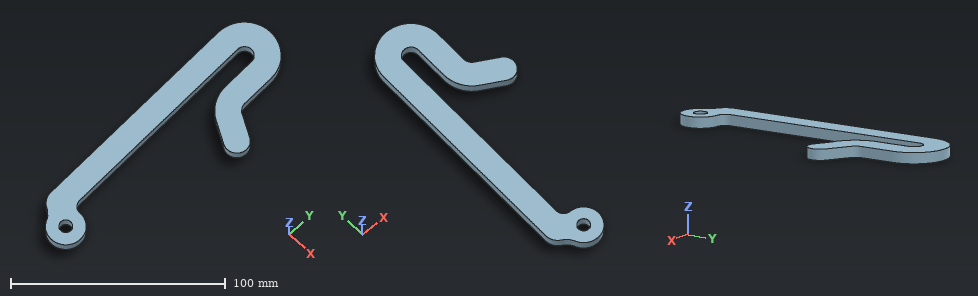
import cadquery as cq
import math

length = 147.3
width = 51.0
thickness = 5.5
bar_width = 12.7
eye_radius = 9.6
hole_diameter = 6.3
slot_radius = 4.4
neck_radius = 4.4
heel_radius = 7.7
heel_height = 7.5
heel_blend_radius = 9.6
lip_bend_radius = 5.0
lip_bend_height = 102.8
lip_drop_angle = 30.0

outer_radius = slot_radius + bar_width
bend_height = length - eye_radius - outer_radius
slope = math.radians(lip_drop_angle)
along = (math.cos(slope), -math.sin(slope))
normal = (math.sin(slope), math.cos(slope))


def offset(point, direction, distance):
    return (point[0] + direction[0] * distance, point[1] + direction[1] * distance)


def polar(center, radius, degrees):
    angle = math.radians(degrees)
    return offset(center, (math.cos(angle), math.sin(angle)), radius)


def angle_of(start, end):
    return math.degrees(math.atan2(end[1] - start[1], end[0] - start[0]))


lip_center = (outer_radius + lip_bend_radius, lip_bend_height)
lip_outside_radius = lip_bend_radius + bar_width
bend_end_angle = 270 - lip_drop_angle
bend_mid_angle = (180 + bend_end_angle) / 2
lip_inside_end = polar(lip_center, lip_bend_radius, bend_end_angle)
lip_outside_end = polar(lip_center, lip_outside_radius, bend_end_angle)

tip_radius = bar_width / 2
tip_center_x = width - outer_radius - tip_radius
lip_length = (tip_center_x - (lip_inside_end[0] + lip_outside_end[0]) / 2) / along[0]
tip_upper = offset(lip_inside_end, along, lip_length)
tip_lower = offset(lip_outside_end, along, lip_length)
tip_end = offset(offset(tip_upper, normal, -tip_radius), along, tip_radius)

neck_x = neck_radius - slot_radius
neck_center = (neck_x, math.sqrt((eye_radius + neck_radius) ** 2 - neck_x**2))
neck_angle = angle_of(neck_center, (0, 0))
neck_mid_angle = (neck_angle - 180) / 2
neck_end = polar(neck_center, neck_radius, neck_angle)

heel_center = (heel_radius - outer_radius, heel_height)
heel_distance = math.hypot(*heel_center)
eye_side = eye_radius + heel_blend_radius
heel_side = heel_radius + heel_blend_radius
eye_corner_cosine = (eye_side**2 + heel_distance**2 - heel_side**2) / (2 * eye_side * heel_distance)
eye_corner_angle = math.degrees(math.acos(eye_corner_cosine))
blend_center = polar((0, 0), eye_side, angle_of((0, 0), heel_center) + eye_corner_angle)
blend_start_angle = angle_of(blend_center, heel_center)
blend_end_angle = angle_of(blend_center, (0, 0))
blend_mid_angle = (blend_start_angle + blend_end_angle) / 2
blend_start = polar(blend_center, heel_blend_radius, blend_start_angle)
blend_end = polar(blend_center, heel_blend_radius, blend_end_angle)
heel_mid_angle = (180 + blend_start_angle + 180) / 2

outline = (
    cq.Workplane("XY")
    .moveTo(-outer_radius, heel_height)
    .lineTo(-outer_radius, bend_height)
    .threePointArc((0, bend_height + outer_radius), (outer_radius, bend_height))
    .lineTo(outer_radius, lip_bend_height)
    .threePointArc(polar(lip_center, lip_bend_radius, bend_mid_angle), lip_inside_end)
    .lineTo(*tip_upper)
    .threePointArc(tip_end, tip_lower)
    .lineTo(*lip_outside_end)
    .threePointArc(polar(lip_center, lip_outside_radius, bend_mid_angle), (slot_radius, lip_bend_height))
    .lineTo(slot_radius, bend_height)
    .threePointArc((0, bend_height + slot_radius), (-slot_radius, bend_height))
    .lineTo(-slot_radius, neck_center[1])
    .threePointArc(polar(neck_center, neck_radius, neck_mid_angle), neck_end)
    .threePointArc((eye_radius, 0), blend_end)
    .threePointArc(polar(blend_center, heel_blend_radius, blend_mid_angle), blend_start)
    .threePointArc(polar(heel_center, heel_radius, heel_mid_angle), (-outer_radius, heel_height))
    .close()
)

hook = outline.extrude(thickness)
eye_hole = cq.Workplane("XY").circle(hole_diameter / 2).extrude(thickness)
result = hook.cut(eye_hole)